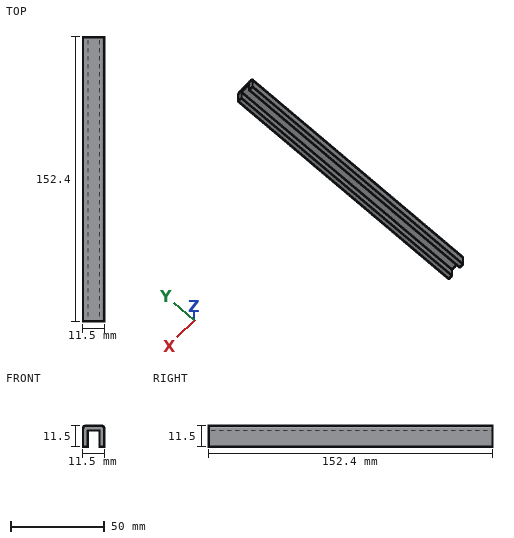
import cadquery as cq

length = 152.4
width = 11.5
height = 11.5

wall = 2.6
corner_radius = 1.5

bar = cq.Workplane("XY").box(width, length, height)
bar = bar.edges("|Y and >Z").fillet(corner_radius)

groove = (
    cq.Workplane("XY")
    .box(width - 2 * wall, length, height)
    .translate((0, 0, -wall))
)

result = bar.cut(groove)